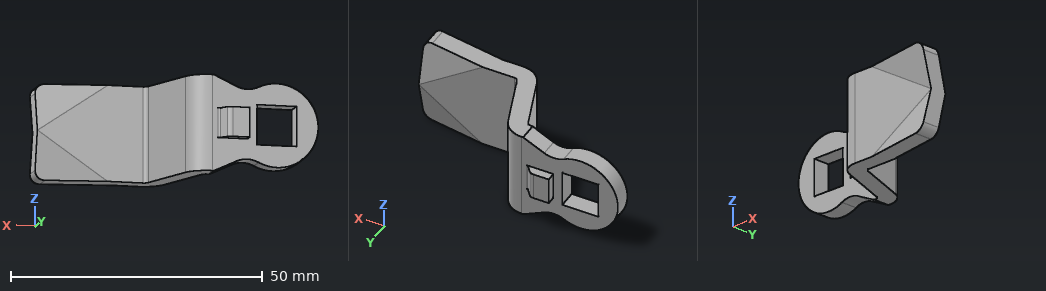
import cadquery as cq
import math

width = 19.5
half_width = width / 2
thickness = 4.0
length = 53.5
head_radius = 8.5
tip_x = length - head_radius
end_radius = 2.0

bend_start_x = 13.25
bend_angle = math.radians(69.5)
offset = 16.0
inner_bend_radius = 1.0
outer_bend_radius = inner_bend_radius + thickness

neck_radius = 5.05
neck_x = 6.05
flare_angle = math.radians(25)

square_hole = 8.1
stop_size = 6.0
stop_start_x = 6.05
stop_height = 2.0
pocket_floor_length = 3.85
stop_top_length = 4.1
stop_base_length = 5.8
stop_crest_radius = 1.35
stop_root_radius = 0.55

front_fold_x = 28.15
back_fold_x = 30.6
fold_slope = 0.16


def extrude_across(points, depth):
    """Extrude an XY outline symmetrically across the strip."""
    return cq.Workplane("XY").polyline(points).close().extrude(depth / 2, both=True)


def round_edge(body, point, radius):
    """Round the edge parallel to Z through an XY point."""
    reach = 0.005
    x, y = point
    corner = cq.selectors.BoxSelector((x - reach, y - reach, -width), (x + reach, y + reach, width))
    return body.edges("|Z").edges(corner).fillet(radius)


def bent_strip():
    """Full-width strip with two opposite bends."""
    setback = math.tan(bend_angle / 2)
    run = offset / math.tan(bend_angle)
    front_upper = (bend_start_x + inner_bend_radius * setback, 0)
    front_lower = (front_upper[0] + run, -offset)
    back_upper = (front_upper[0] + thickness * setback, thickness)
    back_lower = (back_upper[0] + run, thickness - offset)
    body = extrude_across(
        [
            (-head_radius, 0),
            front_upper,
            front_lower,
            (tip_x, -offset),
            (tip_x, thickness - offset),
            back_lower,
            back_upper,
            (-head_radius, thickness),
        ],
        width,
    )
    for corner in (front_upper, back_lower):
        body = round_edge(body, corner, inner_bend_radius)
    for corner in (front_lower, back_upper):
        body = round_edge(body, corner, outer_bend_radius)
    return body


def fold_wedge(fold_x, face_y, side):
    """Tetrahedron under one tail corner, tapering to nothing along the fold line."""
    edge_z = side * half_width
    drop = fold_slope * (tip_x - fold_x)
    fold_start = cq.Vector(fold_x, face_y, edge_z)
    fold_end = cq.Vector(tip_x, face_y, 0)
    corner = cq.Vector(tip_x, face_y, edge_z)
    low_corner = cq.Vector(tip_x, face_y - drop, edge_z)
    triangles = [
        (fold_start, fold_end, corner),
        (fold_start, fold_end, low_corner),
        (fold_start, corner, low_corner),
        (fold_end, corner, low_corner),
    ]
    faces = [cq.Face.makeFromWires(cq.Wire.makePolygon(points, close=True)) for points in triangles]
    return cq.Workplane(cq.Solid.makeSolid(cq.Shell.makeShell(faces)))


def silhouette():
    """Outline in the XZ plane, extruded through the whole depth of the part."""
    reach = head_radius + neck_radius
    neck_z = math.sqrt(reach**2 - neck_x**2)
    join_x = neck_x * head_radius / reach
    join_z = neck_z * head_radius / reach
    flare_x = neck_x + neck_radius * math.sin(flare_angle)
    flare_z = neck_z - neck_radius * math.cos(flare_angle)
    shoulder_x = flare_x + (half_width - flare_z) / math.tan(flare_angle)
    neck_low = neck_z - neck_radius
    depth = 2 * (offset + thickness)
    body = (
        cq.Workplane("XZ")
        .moveTo(join_x, -join_z)
        .threePointArc((-head_radius, 0), (join_x, join_z))
        .threePointArc((neck_x, neck_low), (flare_x, flare_z))
        .lineTo(shoulder_x, half_width)
        .lineTo(tip_x, half_width)
        .lineTo(tip_x, -half_width)
        .lineTo(shoulder_x, -half_width)
        .lineTo(flare_x, -flare_z)
        .threePointArc((neck_x, -neck_low), (join_x, -join_z))
        .close()
        .extrude(depth, both=True)
    )
    return body.edges("|Y and >X").fillet(end_radius)


def stop_boss():
    """Ramped stop standing on the back of the head, rooted halfway into the plate."""
    crest = (stop_start_x + stop_top_length, thickness + stop_height)
    root = (stop_start_x + stop_base_length, thickness)
    foot_x = root[0] + stop_root_radius
    embedded_y = thickness / 2
    body = extrude_across(
        [
            (stop_start_x, embedded_y),
            (stop_start_x, crest[1]),
            crest,
            root,
            (foot_x, thickness),
            (foot_x, embedded_y),
        ],
        stop_size,
    )
    body = round_edge(body, crest, stop_crest_radius)
    return round_edge(body, root, stop_root_radius)


def stop_pocket():
    """Pocket in front of the stop, with a ramp on its tail side."""
    return extrude_across(
        [
            (stop_start_x, 0),
            (stop_start_x, stop_height),
            (stop_start_x + pocket_floor_length, stop_height),
            (stop_start_x + stop_size, 0),
        ],
        stop_size,
    )


result = bent_strip()
for side in (1, -1):
    result = result.union(fold_wedge(front_fold_x, -offset, side))
    result = result.cut(fold_wedge(back_fold_x, thickness - offset, side))
result = result.intersect(silhouette())
result = result.union(stop_boss()).cut(stop_pocket())
result = result.cut(cq.Workplane("XZ").rect(square_hole, square_hole).extrude(-thickness))